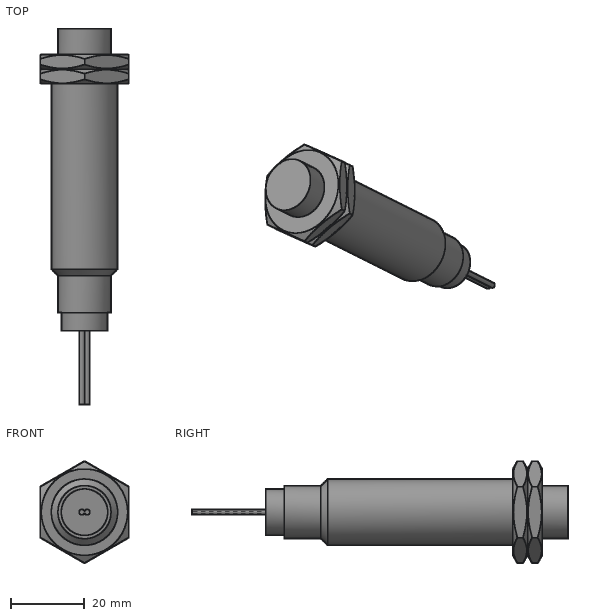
import cadquery as cq
import math


body_diameter = 18.0
neck_diameter = 14.4
cable_gland_diameter = 12.6

head_length = 7.0
neck_start = 67.0
neck_length = 10.0
cable_gland_length = 5.0
wire_length = 20.0

nut_count = 2
nut_thickness = 4.0
nut_sides = 6
nut_across_flats = 24.0
nut_face_diameter = 23.4
nut_chamfer_angle = 30.0

wire_diameter = 1.5
wire_spacing = 1.4

body_radius = body_diameter / 2
neck_radius = neck_diameter / 2
cable_gland_radius = cable_gland_diameter / 2
taper_length = body_radius - neck_radius
taper_start = neck_start - taper_length
neck_end = neck_start + neck_length
cable_gland_end = neck_end + cable_gland_length
nut_across_corners = nut_across_flats / math.cos(math.pi / nut_sides)


def make_barrel():
    """Turned head, body, tapered shoulder, neck and cable gland."""
    outline = [
        (0, 0),
        (neck_radius, 0),
        (neck_radius, -head_length),
        (body_radius, -head_length),
        (body_radius, -taper_start),
        (neck_radius, -neck_start),
        (neck_radius, -neck_end),
        (cable_gland_radius, -neck_end),
        (cable_gland_radius, -cable_gland_end),
        (0, -cable_gland_end),
    ]
    return cq.Workplane("XY").polyline(outline).close().revolve(360, (0, 0), (0, 1))


def make_nut(back_distance):
    """Hexagon nut with corners up and down, its corners chamfered on both faces."""
    hexagon = (
        cq.Workplane("XZ", origin=(0, -back_distance, 0))
        .transformed(rotate=(0, 0, 90))
        .polygon(nut_sides, nut_across_corners)
        .extrude(nut_thickness)
    )
    face_radius = nut_face_diameter / 2
    corner_radius = nut_across_corners / 2
    chamfer_depth = (corner_radius - face_radius) * math.tan(math.radians(nut_chamfer_angle))
    front_distance = back_distance + nut_thickness
    chamfer_envelope = (
        cq.Workplane("XY")
        .moveTo(0, -back_distance)
        .lineTo(face_radius, -back_distance)
        .lineTo(corner_radius, -back_distance - chamfer_depth)
        .lineTo(corner_radius, -front_distance + chamfer_depth)
        .lineTo(face_radius, -front_distance)
        .lineTo(0, -front_distance)
        .close()
        .revolve(360, (0, 0), (0, 1))
    )
    return hexagon.intersect(chamfer_envelope)


def make_wires():
    """Two parallel round wires leaving the cable gland side by side."""
    half_spacing = wire_spacing / 2
    wires = cq.Workplane("XY")
    for x in (-half_spacing, half_spacing):
        wire = (
            cq.Workplane("XZ", origin=(x, -cable_gland_end, 0))
            .circle(wire_diameter / 2)
            .extrude(wire_length)
        )
        wires = wires.union(wire)
    return wires


result = make_barrel()
for nut_index in range(nut_count):
    result = result.union(make_nut(head_length + nut_index * nut_thickness))
result = result.union(make_wires())